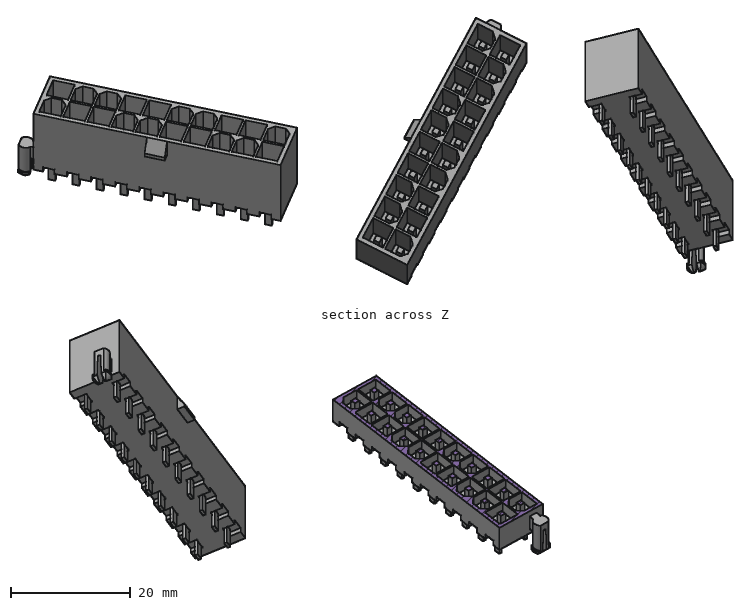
import cadquery as cq
import math

housing_length = 43.15
housing_depth = 9.55
housing_height = 12.85

columns = 10
pitch = 4.2
first_column_x = (housing_length - (columns - 1) * pitch) / 2
column_xs = [first_column_x + column * pitch for column in range(columns)]
mid_y = housing_depth / 2
row_ys = {"front": mid_y - pitch / 2, "back": mid_y + pitch / 2}

cavity_size = 3.8
cavity_depth = 10.0
cavity_floor_z = housing_height - cavity_depth
key_chamfer = 0.95
keyed_columns = {"front": (0, 3, 4, 7, 8), "back": (1, 2, 5, 6, 9)}

blade_size = 1.0
blade_height = 6
tail_width = 1.2
tail_thickness = 0.55
tail_length = 3.2
tail_row_spacing = 5.6
front_tail_y = mid_y - tail_row_spacing / 2
back_tail_y = mid_y + tail_row_spacing / 2

notch_width = 2.05
notch_height = 0.95
notch_depth = front_tail_y + tail_thickness / 2

latch_width = 3.5
latch_height = 3.2
latch_lip = 0.7
latch_reach = 1.35

peg_reach = 3.0
peg_width = 2.05
peg_radius = 1.35
peg_x = peg_width / 2 - peg_reach
peg_y = 2.2
peg_top_z = 3.75
arm_thickness = 1.5
barb_radius = 1.6
barb_top_z = -1.75
barb_height = 0.45
tip_inset = 0.88
slot_top_z = 2.4
slot_top_width = 0.55
slot_bottom_width = 0.88


def block(x_min, x_max, y_min, y_max, z_min, z_max):
    size = (x_max - x_min, y_max - y_min, z_max - z_min)
    return cq.Workplane("XY").box(*size, centered=False).translate((x_min, y_min, z_min))


def upright(x, y, width, depth, z_min, z_max):
    """Block centred on (x, y)."""
    return block(x - width / 2, x + width / 2, y - depth / 2, y + depth / 2, z_min, z_max)


def cavity(x, y, keyed):
    pocket = upright(x, y, cavity_size, cavity_size, cavity_floor_z, housing_height)
    if keyed:
        pocket = pocket.faces(">Y").edges("|Z").chamfer(key_chamfer)
    return pocket


def make_housing():
    housing = block(0, housing_length, 0, housing_depth, 0, housing_height)
    for row, y in row_ys.items():
        for column, x in enumerate(column_xs):
            housing = housing.cut(cavity(x, y, column in keyed_columns[row]))
    for x in column_xs:
        for y in (notch_depth / 2, housing_depth - notch_depth / 2):
            housing = housing.cut(upright(x, y, notch_width, notch_depth, 0, notch_height))
    return housing


def add_contacts(body):
    for x in column_xs:
        for y in row_ys.values():
            blade_top_z = cavity_floor_z + blade_height
            body = body.union(upright(x, y, blade_size, blade_size, cavity_floor_z, blade_top_z))
        for y in (front_tail_y, back_tail_y):
            body = body.union(upright(x, y, tail_width, tail_thickness, -tail_length, notch_height))
    return body


def make_latch():
    return (
        cq.Workplane("YZ")
        .moveTo(0, housing_height)
        .lineTo(-latch_reach, housing_height - latch_height + latch_lip)
        .lineTo(-latch_reach, housing_height - latch_height)
        .lineTo(0, housing_height - latch_height)
        .close()
        .extrude(latch_width / 2, both=True)
        .translate((housing_length / 2, 0, 0))
    )


def flat_sided_round(radius, z):
    """Circle with both X sides cut flat to the peg width, drawn at height z."""
    half_width = peg_width / 2
    flat_y = math.sqrt(radius**2 - half_width**2)
    return (
        cq.Workplane("XY", origin=(peg_x, peg_y, z))
        .moveTo(half_width, -flat_y)
        .lineTo(half_width, flat_y)
        .threePointArc((0, radius), (-half_width, flat_y))
        .lineTo(-half_width, -flat_y)
        .threePointArc((0, -radius), (half_width, -flat_y))
        .close()
    )


def make_peg():
    barb_bottom_z = barb_top_z - barb_height
    tip_height = barb_bottom_z + tail_length
    tip_taper = math.degrees(math.atan2(tip_inset, tip_height))
    peg = flat_sided_round(peg_radius, barb_top_z).extrude(peg_top_z - barb_top_z)
    barb = flat_sided_round(barb_radius, barb_bottom_z).extrude(barb_height)
    tip = flat_sided_round(barb_radius, barb_bottom_z).extrude(-tip_height, taper=tip_taper)
    slot_shoulder_z = slot_top_z - slot_top_width / 2
    slot = (
        cq.Workplane("YZ", origin=(peg_x, peg_y, 0))
        .moveTo(-slot_bottom_width / 2, -tail_length)
        .lineTo(-slot_top_width / 2, slot_shoulder_z)
        .threePointArc((0, slot_top_z), (slot_top_width / 2, slot_shoulder_z))
        .lineTo(slot_bottom_width / 2, -tail_length)
        .close()
        .extrude(peg_width, both=True)
    )
    arm_front_y = peg_y - arm_thickness / 2
    arm = block(
        peg_x + peg_width / 2, 0, arm_front_y, arm_front_y + arm_thickness, notch_height, peg_top_z
    )
    return peg.union(barb).union(tip).cut(slot).union(arm)


result = add_contacts(make_housing()).union(make_latch()).union(make_peg())